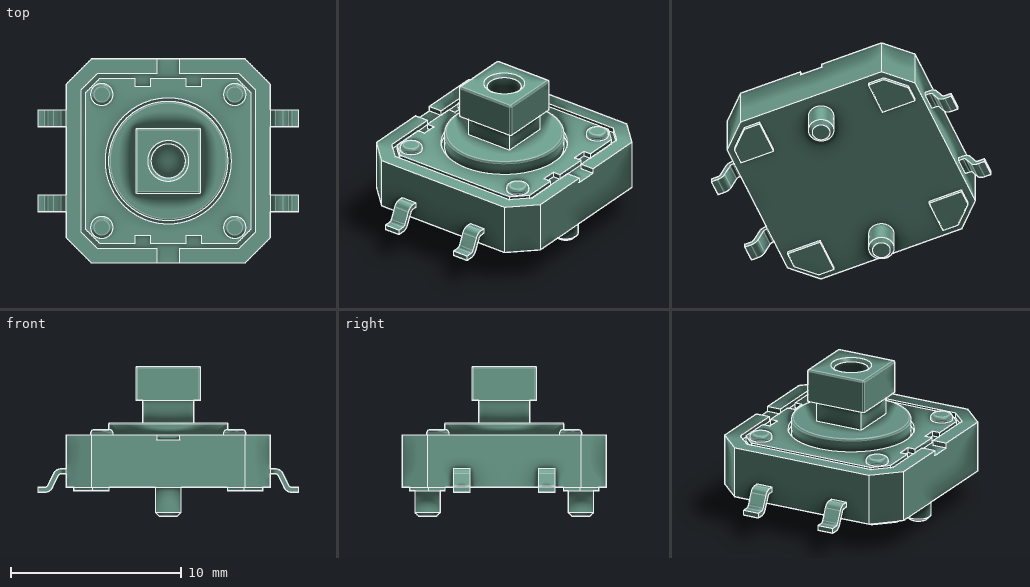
import cadquery as cq
import math

overall_length = 15.3
tiny_round = 0.1

body_size = 12.0
body_height = 3.09
body_corner = 1.5
recess_size = 10.25
recess_corner = 0.96
recess_depth = 0.3
notch_width = 1.35

plate_size = 9.7
plate_corner = 0.84
plate_hole_dia = 7.4
plate_slot_width = 0.92
plate_slot_depth = 0.47
plate_slot_offset = 1.5

rivet_dia = 1.3
rivet_offset = 3.9
rivet_top = 3.4
rivet_round = 0.2

collar_dia = 7.0
collar_top = 3.8
neck_size = 3.0
head_size = 3.81
head_bottom = 5.11
head_top = 7.1
socket_dia = 2.0
socket_chamfer = 0.2
socket_cone_angle = 90

pad_inner = 3.47
pad_outer = 5.55
pad_corner = 1.1
pad_height = 0.2
pin_dia = 1.5
pin_offset = 4.5
pin_length = 1.7
pin_chamfer = 0.23

lead_width = 1.0
lead_thickness = 0.3
lead_offset = 2.5
lead_top = 1.1
lead_foot_top = 0.02
lead_bend_x = 6.6
lead_angle = math.radians(64)
lead_inner_radius = 0.2
lead_embed = 0.15

floor_z = body_height - recess_depth


def square_block(size, corner, bottom, top):
    """Square block with its four vertical edges chamfered."""
    block = cq.Workplane("XY").workplane(offset=bottom).rect(size, size).extrude(top - bottom)
    return block.edges("|Z").chamfer(corner)


def cylinder(diameter, bottom, top):
    return cq.Workplane("XY").workplane(offset=bottom).circle(diameter / 2).extrude(top - bottom)


def make_housing():
    """Chamfered square housing with a shallow recess opened by two edge notches."""
    housing = square_block(body_size, body_corner, 0, body_height)
    recess = square_block(recess_size, recess_corner, floor_z, body_height)
    notches = (
        cq.Workplane("XY")
        .workplane(offset=floor_z)
        .rect(notch_width, body_size)
        .extrude(recess_depth)
    )
    return housing.cut(recess).cut(notches)


def make_plate():
    """Cover plate with a clearance hole for the collar and four edge slots."""
    plate = square_block(plate_size, plate_corner, floor_z, body_height)
    slot_y = (plate_size - plate_slot_depth) / 2
    slots = (
        cq.Workplane("XY")
        .workplane(offset=floor_z)
        .rect(2 * plate_slot_offset, 2 * slot_y, forConstruction=True)
        .vertices()
        .rect(plate_slot_width, plate_slot_depth)
        .extrude(recess_depth)
    )
    return plate.cut(slots).cut(cylinder(plate_hole_dia, floor_z, body_height))


def make_rivets():
    """Four round-edged rivet heads near the plate corners."""
    rivet = cylinder(rivet_dia, floor_z, rivet_top).edges(">Z").fillet(rivet_round)
    rivets = cq.Workplane("XY")
    for x in (-rivet_offset, rivet_offset):
        for y in (-rivet_offset, rivet_offset):
            rivets = rivets.union(rivet.translate((x, y, 0)))
    return rivets


def make_plunger():
    """Round collar, square neck and larger square head with a blind round socket."""
    collar = cylinder(collar_dia, floor_z, collar_top).edges(">Z").fillet(tiny_round)
    neck = (
        cq.Workplane("XY")
        .workplane(offset=floor_z)
        .rect(neck_size, neck_size)
        .extrude(head_bottom - floor_z)
    )
    head_height = head_top - head_bottom
    head = (
        cq.Workplane("XY")
        .workplane(offset=head_bottom)
        .rect(head_size, head_size)
        .extrude(head_height)
        .edges("|Z or >Z")
        .fillet(tiny_round)
        .faces(">Z")
        .workplane(origin=(0, 0, head_top))
        .cskHole(socket_dia, socket_dia + 2 * socket_chamfer, socket_cone_angle, head_height)
    )
    return collar.union(neck).union(head)


def make_pads():
    """Four low standoff pads, each with its outermost corner cut off."""
    pad = (
        cq.Workplane("XY")
        .moveTo(pad_inner, pad_inner)
        .lineTo(pad_outer, pad_inner)
        .lineTo(pad_outer, pad_outer - pad_corner)
        .lineTo(pad_outer - pad_corner, pad_outer)
        .lineTo(pad_inner, pad_outer)
        .close()
        .extrude(-pad_height)
    )
    pads = cq.Workplane("XY")
    for angle in (0, 90, 180, 270):
        pads = pads.union(pad.rotate((0, 0, 0), (0, 0, 1), angle))
    return pads


def make_pins():
    """Two locating pins with chamfered tips."""
    pin = cylinder(pin_dia, -pin_length, 0).edges("<Z").chamfer(pin_chamfer)
    return pin.translate((0, pin_offset, 0)).union(pin.translate((0, -pin_offset, 0)))


def make_lead():
    """Gull-wing lead on the +X side, centred on Y = 0."""
    root_x = body_size / 2 - lead_embed
    tip_x = overall_length / 2
    foot_bend_x = lead_bend_x + (lead_top - lead_foot_top) / math.tan(lead_angle)
    mitre = lead_thickness * math.tan(lead_angle / 2)
    shoulder_bottom = lead_top - lead_thickness
    foot_bottom = lead_foot_top - lead_thickness

    shoulder_outer = (lead_bend_x, lead_top)
    shoulder_inner = (lead_bend_x - mitre, shoulder_bottom)
    foot_inner = (foot_bend_x, lead_foot_top)
    foot_outer = (foot_bend_x - mitre, foot_bottom)
    outline = [
        (root_x, lead_top),
        shoulder_outer,
        foot_inner,
        (tip_x, lead_foot_top),
        (tip_x, foot_bottom),
        foot_outer,
        shoulder_inner,
        (root_x, shoulder_bottom),
    ]
    lead = cq.Workplane("XZ").polyline(outline).close().extrude(lead_width / 2, both=True)

    outer_radius = lead_inner_radius + lead_thickness
    bends = (
        (shoulder_outer, outer_radius),
        (shoulder_inner, lead_inner_radius),
        (foot_inner, lead_inner_radius),
        (foot_outer, outer_radius),
    )
    for (x, z), radius in bends:
        lead = lead.edges("|Y").edges(cq.NearestToPointSelector((x, 0, z))).fillet(radius)
    return lead


def make_leads():
    """Two leads on each of the +X and -X sides."""
    right_lead = make_lead()
    left_lead = right_lead.mirror("YZ")
    leads = cq.Workplane("XY")
    for y in (-lead_offset, lead_offset):
        leads = leads.union(right_lead.translate((0, y, 0)))
        leads = leads.union(left_lead.translate((0, y, 0)))
    return leads


result = (
    make_housing()
    .union(make_plate())
    .union(make_rivets())
    .union(make_plunger())
    .union(make_pads())
    .union(make_pins())
    .union(make_leads())
)